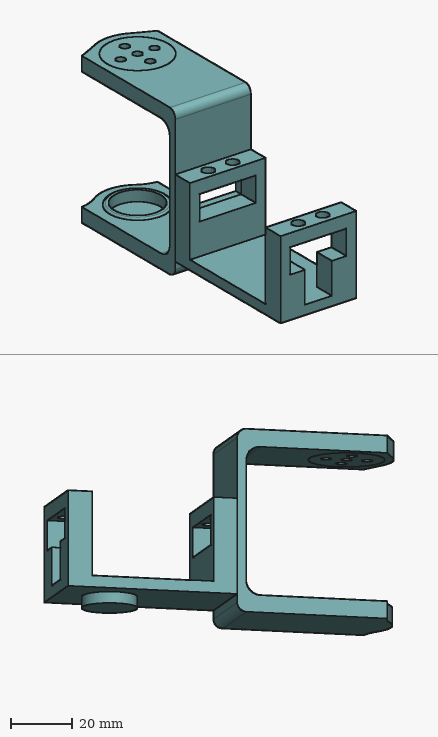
import cadquery as cq
import math

length = 113.8
width = 31.0
height = 61.0

arm_thickness = 5.8
wall_thickness = 3.1
fork_length = 56.5
inner_radius = 4.8
outer_radius = 3.1
shoulder_x = 5.7
pivot_x = 15.5
upper_tip_radius = pivot_x
upper_tip_half_width = 7.0
lower_tip_radius = 15.0
lower_tip_half_width = 8.4
boss_diameter = 22.9
boss_height = 0.8
boss_edge_radius = boss_height
pocket_diameter = 19.0
pocket_depth = 4.3

disc_diameter = 25.0
disc_hole_diameter = 3.5
disc_hole_radius = 6.9
disc_hole_count = 4

holder_height = 31.8
holder_base = 3.9
near_post = 8.0
far_post = 8.2
window_width = 23.0
window_height = 10.0
window_bottom = 22.4
far_slot_width = 11.0
screw_diameter = 4.7
screw_pitch = 10.0
screw_inset = 4.0
far_screw_inset = 4.3
pin_diameter = 18.3
pin_height = 3.8
pin_x = 95.7

holder_bottom = arm_thickness
holder_top = holder_bottom + holder_height
floor_z = holder_bottom + holder_base
window_top = window_bottom + window_height


def block(x_start, x_end, y_size, z_start, z_end):
    """Box centred on Y, given by its X and Z limits."""
    return (
        cq.Workplane("XY", origin=(x_start, 0, z_start))
        .box(x_end - x_start, y_size, z_end - z_start, centered=(False, True, False))
    )


def cylinder(x, y, z, diameter, depth):
    """Upright cylinder starting at z."""
    return cq.Workplane("XY", origin=(x, y, z)).circle(diameter / 2).extrude(depth)


def arm_plan(tip_radius, tip_half_width, z_start, z_end):
    """Arm plan: a round tip about the pivot, blended by tangent arcs into the shoulders."""
    blend_x = pivot_x - math.sqrt(tip_radius**2 - tip_half_width**2)
    tip_angle = math.asin(tip_half_width / tip_radius) / 2
    tip_middle = (pivot_x - tip_radius * math.cos(tip_angle), tip_radius * math.sin(tip_angle))
    half = (
        cq.Workplane("XY", origin=(0, 0, z_start))
        .moveTo(pivot_x - tip_radius, 0)
        .threePointArc(tip_middle, (blend_x, tip_half_width))
        .tangentArcPoint((shoulder_x, width / 2), relative=False)
        .lineTo(fork_length, width / 2)
        .lineTo(fork_length, 0)
        .close()
        .extrude(z_end - z_start)
    )
    return half.union(half.mirror("XZ")).clean()


def make_fork():
    middle = height / 2
    plan = arm_plan(lower_tip_radius, lower_tip_half_width, 0, middle).union(
        arm_plan(upper_tip_radius, upper_tip_half_width, middle, height)
    )
    inside_x = fork_length - wall_thickness
    gap = block(-inside_x, inside_x, 2 * width, arm_thickness, height - arm_thickness)
    gap = gap.edges("|Y and >X").fillet(inner_radius)
    fork = plan.faces(">X").edges("|Y and (>Z or <Z)").fillet(outer_radius).cut(gap)

    boss_top = arm_thickness + boss_height
    boss = cylinder(pivot_x, 0, boss_top - pocket_depth, boss_diameter, pocket_depth)
    boss = boss.faces(">Z").edges().fillet(boss_edge_radius)
    pocket = cylinder(pivot_x, 0, boss_top - pocket_depth, pocket_diameter, pocket_depth)
    fork = fork.union(boss).cut(pocket)

    seat = cylinder(pivot_x, 0, height - arm_thickness, disc_diameter, arm_thickness)
    window = block(inside_x, fork_length, window_width, window_bottom, window_top)
    return fork.cut(seat).cut(window)


def make_disc():
    disc = cylinder(pivot_x, 0, height - arm_thickness, disc_diameter, arm_thickness)
    holes = (
        cq.Workplane("XY", origin=(pivot_x, 0, height - arm_thickness))
        .polarArray(disc_hole_radius, 0, 360, disc_hole_count)
        .circle(disc_hole_diameter / 2)
        .extrude(arm_thickness)
    )
    centre_hole = cylinder(pivot_x, 0, height - arm_thickness, disc_hole_diameter, arm_thickness)
    return disc.cut(holes).cut(centre_hole)


def make_holder():
    holder = block(fork_length, length, width, holder_bottom, holder_top)
    bay = block(fork_length + near_post, length - far_post, width, floor_z, holder_top)
    window = block(fork_length, length, window_width, window_bottom, window_top)
    far_slot = block(length - far_post, length, far_slot_width, floor_z, window_bottom)
    holder = holder.cut(bay).cut(window).cut(far_slot)

    for x in (fork_length + screw_inset, length - far_screw_inset):
        for y in (-screw_pitch / 2, screw_pitch / 2):
            holder = holder.cut(cylinder(x, y, window_top, screw_diameter, holder_top - window_top))

    pin = cylinder(pin_x, 0, holder_bottom - pin_height, pin_diameter, pin_height)
    return holder.union(pin)


fork = make_fork()
disc = make_disc()
holder = make_holder()
result = cq.Compound.makeCompound([fork.val(), disc.val(), holder.val()])